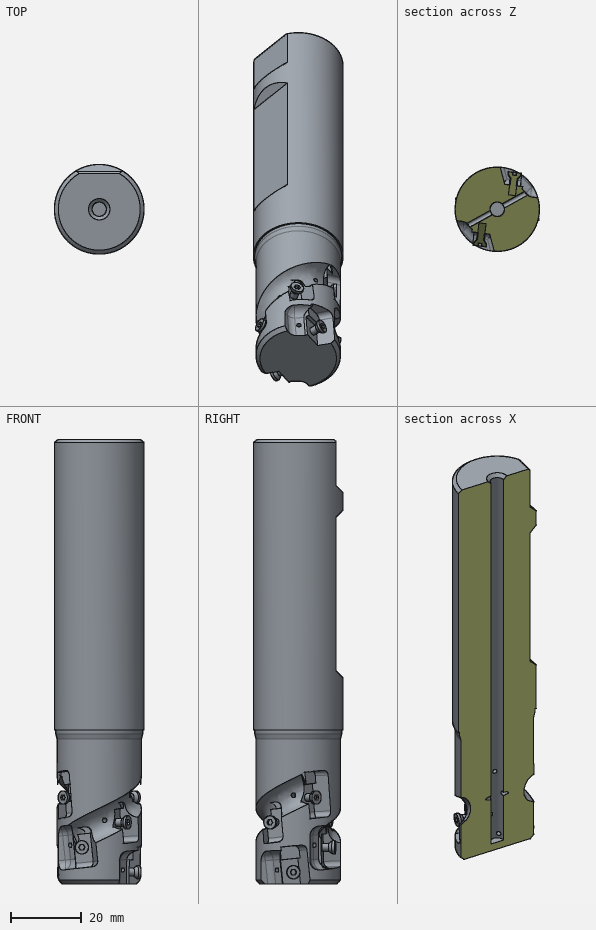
import cadquery as cq
import math

TOTAL_LENGTH = 125.8
SHANK_RADIUS = 12.7
TOP_CHAMFER_WIDTH = 1.1
TOP_CHAMFER_HEIGHT = 0.9
SHOULDER_Z = 43.7
COLLAR_RADIUS = 12.3
COLLAR_Z = 42.5
NECK_RADIUS = 12.0
NECK_Z = 41.0
TIP_CHAMFER = 1.1

FLAT_Y = 10.7
FLAT_END_SLOPE = SHANK_RADIUS - FLAT_Y
LOWER_FLAT_START, LOWER_FLAT_END = 60.4, 103.8
UPPER_FLAT_START = 112.7
FLAT_TOP_BEVEL = 0.6

FLUTE_COUNT = 2
ROW_COUNT = 4
FIRST_SEAT_Z = 3.4
ROW_PITCH = 7.0
FIRST_SEAT_ANGLE = -168.0
ROW_TURN = 71.0

CUT_RADIUS = 15.1
SCREW_OFFSET = 3.6
SEAT_DEPTH = 7.3
SEAT_NEAR = 1.3
SEAT_FAR = 6.3
SEAT_WALL_LEAN = 1.9
SEAT_BOTTOM = -5.8
RELIEF_TOPS = (7.4, 5.7, 5.7, 7.4)
SEAT_STEP_TOP = 3.8
RELIEF_DEPTH = 8.3
SEAT_FILLET = 1.5

GASH_EDGE_DEPTH = 6.5
GASH_VALLEY = 8.5
GASH_DEPTHS = (3.4, 4.7)
GASH_TOP = 6.7
GASH_FILLET = 2.8
VALLEY_RADIUS = 2.5
SEAT_TILT = 6.0

GROOVE_RADIUS = 4.4
GROOVE_CENTRE_RADIUS = 13.2
GROOVE_LEAD = 36.5
GROOVE_START_ANGLE = -137.0
GROOVE_SWEEP = 150.0
GROOVE_START_Z = 12.1

SCREW_RADIUS = 1.1
SCREW_END_DEPTH = 4.5
HEAD_RADIUS = 1.9
HEAD_TOP_DEPTH = 11.0
HEAD_RIM = 0.8
HEAD_CONE = 1.0
SOCKET_WIDTH = 1.8
SOCKET_DEPTH = 0.8

BORE_RADIUS = 2.0
BORE_MOUTH_RADIUS = 3.0
BORE_MOUTH_DEPTH = 1.0
BORE_END_Z = 2.5
BRANCH_RADIUS = 0.6
OUTLET_OFFSET = 8.8
OUTLET_DEPTH = 6.4
OUTLET_RISE = 0.6


def place_on_row(shape, row, flute):
    """Move a shape from the seat frame to its row and flute on the tool."""
    axis_angle = FIRST_SEAT_ANGLE + row * ROW_TURN + flute * 360.0 / FLUTE_COUNT
    turned = shape.rotate((0, 0, 0), (0, 0, 1), axis_angle + 90.0)
    return turned.translate((0, 0, FIRST_SEAT_Z + row * ROW_PITCH))


def make_blank():
    outline = [
        (0, 0),
        (NECK_RADIUS - TIP_CHAMFER, 0),
        (NECK_RADIUS, TIP_CHAMFER),
        (NECK_RADIUS, NECK_Z),
        (COLLAR_RADIUS, COLLAR_Z),
        (COLLAR_RADIUS, SHOULDER_Z),
        (SHANK_RADIUS, SHOULDER_Z),
        (SHANK_RADIUS, TOTAL_LENGTH - TOP_CHAMFER_HEIGHT),
        (SHANK_RADIUS - TOP_CHAMFER_WIDTH, TOTAL_LENGTH),
        (0, TOTAL_LENGTH),
    ]
    return cq.Workplane("XZ").polyline(outline).close().revolve(360, (0, 0), (0, 1))


def make_flat_cutters():
    lower = [
        (SHANK_RADIUS, LOWER_FLAT_START - FLAT_END_SLOPE),
        (FLAT_Y, LOWER_FLAT_START),
        (FLAT_Y, LOWER_FLAT_END),
        (SHANK_RADIUS, LOWER_FLAT_END + FLAT_END_SLOPE),
    ]
    upper = [
        (SHANK_RADIUS, UPPER_FLAT_START - FLAT_END_SLOPE),
        (FLAT_Y, UPPER_FLAT_START),
        (FLAT_Y, TOTAL_LENGTH - FLAT_TOP_BEVEL),
        (FLAT_Y - FLAT_TOP_BEVEL, TOTAL_LENGTH),
        (SHANK_RADIUS, TOTAL_LENGTH),
    ]
    return [
        cq.Workplane("YZ").polyline(outline).close().extrude(SHANK_RADIUS, both=True)
        for outline in (lower, upper)
    ]


def make_seat_pocket(row):
    """Pocket with a flat seat, a leaning side wall, and a step above the seat face."""
    wall_slope = SEAT_WALL_LEAN / (NECK_RADIUS - SEAT_DEPTH)

    def prism(depth, bottom, top):
        near_x = -SEAT_NEAR + wall_slope * (depth - SEAT_DEPTH)
        outer_x = -SEAT_NEAR + wall_slope * (CUT_RADIUS - SEAT_DEPTH)
        outline = [(outer_x, -CUT_RADIUS), (near_x, -depth), (-SEAT_FAR, -depth), (-SEAT_FAR, -CUT_RADIUS)]
        return cq.Workplane("XY").workplane(offset=bottom).polyline(outline).close().extrude(top - bottom)

    seat = prism(SEAT_DEPTH, SEAT_BOTTOM, SEAT_STEP_TOP).faces("<Z").edges("#Y or >X").fillet(SEAT_FILLET)
    relief = prism(RELIEF_DEPTH, SEAT_STEP_TOP, RELIEF_TOPS[row]).faces(">Z").edges(">X").fillet(SEAT_FILLET)
    return seat.union(relief)


def make_gash(depth):
    """Chip space beside the seat, with a rounded valley and rounded ends."""
    outline = [
        (-SEAT_FAR, -CUT_RADIUS),
        (-SEAT_FAR, -GASH_EDGE_DEPTH),
        (-GASH_VALLEY, -depth),
        (-CUT_RADIUS, -depth),
        (-CUT_RADIUS, -CUT_RADIUS),
    ]
    profile = cq.Workplane("XY").workplane(offset=SEAT_BOTTOM).polyline(outline).close()
    gash = profile.extrude(GASH_TOP - SEAT_BOTTOM)
    valley = (-GASH_VALLEY, -depth, (SEAT_BOTTOM + GASH_TOP) / 2)
    gash = gash.edges(cq.NearestToPointSelector(valley)).fillet(VALLEY_RADIUS)
    for end_z in (SEAT_BOTTOM, GASH_TOP):
        floor_edge = (-(GASH_VALLEY + CUT_RADIUS) / 2, -depth, end_z)
        gash = gash.edges(cq.NearestToPointSelector(floor_edge)).fillet(GASH_FILLET)
    return gash


def tilt_about_screw(shape):
    """Lean a seat feature about its screw axis."""
    return shape.rotate((-SCREW_OFFSET, 0, 0), (-SCREW_OFFSET, 1, 0), -SEAT_TILT)


def make_groove(flute):
    """Round groove swept along the helix of one flute."""
    helix = cq.Wire.makeHelix(GROOVE_LEAD, GROOVE_LEAD * GROOVE_SWEEP / 360.0, GROOVE_CENTRE_RADIUS)
    start = cq.Plane(
        origin=(GROOVE_CENTRE_RADIUS, 0, 0),
        xDir=(1, 0, 0),
        normal=(0, 2 * math.pi * GROOVE_CENTRE_RADIUS, GROOVE_LEAD),
    )
    groove = cq.Workplane(start).circle(GROOVE_RADIUS).sweep(cq.Workplane(helix), isFrenet=True)
    start_angle = GROOVE_START_ANGLE + flute * 360.0 / FLUTE_COUNT
    return groove.rotate((0, 0, 0), (0, 0, 1), start_angle).translate((0, 0, GROOVE_START_Z))


def make_screw_hole():
    plane = cq.Workplane("XZ", origin=(-SCREW_OFFSET, -SCREW_END_DEPTH, 0))
    return plane.circle(SCREW_RADIUS).extrude(SEAT_DEPTH - SCREW_END_DEPTH)


def make_bore():
    outline = [
        (0, BORE_END_Z),
        (BORE_RADIUS, BORE_END_Z),
        (BORE_RADIUS, TOTAL_LENGTH - BORE_MOUTH_DEPTH),
        (BORE_MOUTH_RADIUS, TOTAL_LENGTH),
        (0, TOTAL_LENGTH),
    ]
    return cq.Workplane("XZ").polyline(outline).close().revolve(360, (0, 0), (0, 1))


def make_coolant_branch():
    """Straight branch from the bore to an outlet in the chip gash."""
    direction = cq.Vector(-OUTLET_OFFSET, -OUTLET_DEPTH, 0)
    plane = cq.Plane(origin=(0, 0, OUTLET_RISE), xDir=(0, 0, 1), normal=direction.toTuple())
    return cq.Workplane(plane).circle(BRANCH_RADIUS).extrude(direction.Length)


def make_cutter_body():
    body = make_blank().cut(make_bore())
    for flat in make_flat_cutters():
        body = body.cut(flat)
    for flute in range(FLUTE_COUNT):
        body = body.cut(make_groove(flute))
        for row in range(ROW_COUNT):
            features = [tilt_about_screw(make_seat_pocket(row)), make_screw_hole(), make_coolant_branch()]
            if row < len(GASH_DEPTHS):
                features.append(tilt_about_screw(make_gash(GASH_DEPTHS[row])))
            for feature in features:
                body = body.cut(place_on_row(feature, row, flute))
    return body


def make_screw():
    """Countersunk screw with a hexagonal socket, its axis along -Y."""
    outline = [
        (0, SCREW_END_DEPTH),
        (SCREW_RADIUS, SCREW_END_DEPTH),
        (SCREW_RADIUS, HEAD_TOP_DEPTH - HEAD_RIM - HEAD_CONE),
        (HEAD_RADIUS, HEAD_TOP_DEPTH - HEAD_RIM),
        (HEAD_RADIUS, HEAD_TOP_DEPTH),
        (0, HEAD_TOP_DEPTH),
    ]
    profile = [(radius - SCREW_OFFSET, -depth) for radius, depth in outline]
    screw = cq.Workplane("XY").polyline(profile).close()
    screw = screw.revolve(360, (-SCREW_OFFSET, 0), (-SCREW_OFFSET, 1))
    socket = cq.Workplane("XZ", origin=(-SCREW_OFFSET, SOCKET_DEPTH - HEAD_TOP_DEPTH, 0))
    return screw.cut(socket.polygon(6, SOCKET_WIDTH).extrude(SOCKET_DEPTH))


cutter_body = make_cutter_body()
screws = [
    place_on_row(make_screw(), row, flute).solids().val()
    for flute in range(FLUTE_COUNT)
    for row in range(ROW_COUNT)
]

result = cq.Compound.makeCompound([cutter_body.solids().val(), *screws])